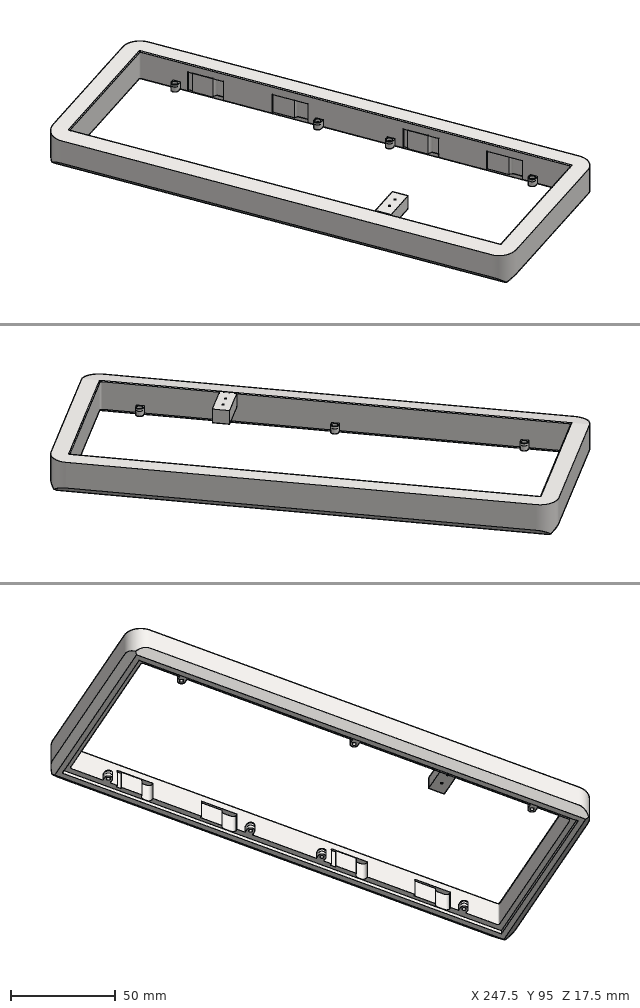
import cadquery as cq

length = 247.5
depth = 95.0
height = 17.5
corner_radius = 9.2
bottom_chamfer = 3.7

rail_width = 9.2
window_top_chamfer = 0.5
window_length = length - 2 * rail_width
window_depth = depth - 2 * rail_width
window_corner_radius = 1.0
rebate_height = 2.2
rebate_width = 2.7

front_drop = 1.11

boss_diameter = 4.0
boss_hole_diameter = 1.8
boss_counterbore_diameter = 3.0
boss_counterbore_depth = 1.5
boss_height = 4.0
boss_reach = 2.0
back_boss_xs = (-95.0, -19.0, 19.0, 95.0)
front_boss_xs = (-92.4, 0.0, 95.0)

recess_length = 19.0
recess_top = 12.9
pocket_depth = 2.5
pocket_corner_radius = 2.0
deep_recess_depth = 1.0
deep_recess_pocket_length = 7.7
deep_recess_xs = (-44.3, 69.8)
faint_recess_depth = 0.2
faint_recess_pocket_length = 5.7
faint_recess_xs = (-89.5, 25.3)
groove_width = 2.5

bracket_center_x = 52.2
bracket_width = 8.5
bracket_reach = 18.5
bracket_bottom = 10.2
bracket_hole_diameter = 1.0
bracket_hole_ys = (-31.7, -25.5)

wall_y = window_depth / 2


def block(x_min, x_max, y_min, y_max, z_min, z_max):
    """Box between the given limits."""
    size = (x_max - x_min, y_max - y_min, z_max - z_min)
    return cq.Workplane("XY").box(*size, centered=False).translate((x_min, y_min, z_min))


def make_window_chamfer():
    """Flared top of the window that bevels its upper edge."""
    return (
        cq.Workplane("XY")
        .workplane(offset=height - window_top_chamfer)
        .rect(window_length, window_depth)
        .workplane(offset=window_top_chamfer)
        .rect(window_length + 2 * window_top_chamfer, window_depth + 2 * window_top_chamfer)
        .loft(combine=True)
    )


def make_frame():
    """Rounded rectangular frame with a chamfered foot and a sloping front rail."""
    frame = (
        cq.Workplane("XY")
        .box(length, depth, height, centered=(True, True, False))
        .faces("<Z")
        .chamfer(bottom_chamfer)
    )
    rounded_prism = (
        cq.Workplane("XY").rect(length, depth).extrude(height).edges("|Z").fillet(corner_radius)
    )
    window = (
        cq.Workplane("XY")
        .rect(window_length, window_depth)
        .extrude(height)
        .edges("|Z")
        .fillet(window_corner_radius)
    )
    window = window.union(make_window_chamfer())
    rebate = (
        cq.Workplane("XY")
        .rect(window_length + 2 * rebate_width, window_depth + 2 * rebate_width)
        .extrude(rebate_height)
    )
    slope = (
        cq.Workplane("YZ")
        .polyline([(-wall_y, height), (-depth / 2, height), (-depth / 2, height - front_drop)])
        .close()
        .extrude(length / 2, both=True)
    )
    return frame.intersect(rounded_prism).cut(window).cut(rebate).cut(slope)


def make_boss(x, side):
    """Boss with a round nose on the back (side = 1) or front (side = -1) wall."""
    radius = boss_diameter / 2
    center_y = side * (wall_y - boss_reach)
    nose = cq.Workplane("XY").circle(radius).extrude(boss_height)
    web = cq.Workplane("XY").rect(boss_diameter, boss_reach).extrude(boss_height)
    web = web.translate((0, side * boss_reach / 2, 0))
    hole = cq.Workplane("XY").circle(boss_hole_diameter / 2).extrude(boss_height)
    counterbore = (
        cq.Workplane("XY")
        .workplane(offset=boss_height - boss_counterbore_depth)
        .circle(boss_counterbore_diameter / 2)
        .extrude(boss_counterbore_depth)
    )
    return nose.union(web).cut(hole).cut(counterbore).translate((x, center_y, rebate_height))


def make_wall_cut(x_min, x_max, cut_depth):
    """Cut into the back wall, from the underside up to the top of the recesses."""
    return block(x_min, x_max, wall_y, wall_y + cut_depth, 0, recess_top)


def make_recess(x, recess_depth, pocket_length):
    """Recess starting at x, with a round-cornered pocket at its right end."""
    x_end = x + recess_length
    pocket = make_wall_cut(x_end - pocket_length, x_end, pocket_depth)
    pocket = pocket.edges("|Z and >Y").fillet(pocket_corner_radius)
    return make_wall_cut(x, x_end, recess_depth).union(pocket)


def make_bracket():
    """Block standing out of the front wall with two small vertical holes."""
    bracket = block(
        bracket_center_x - bracket_width / 2,
        bracket_center_x + bracket_width / 2,
        -wall_y,
        -wall_y + bracket_reach,
        bracket_bottom,
        height,
    )
    holes = (
        cq.Workplane("XY")
        .pushPoints([(bracket_center_x, y) for y in bracket_hole_ys])
        .circle(bracket_hole_diameter / 2)
        .extrude(height)
    )
    return bracket.cut(holes)


result = make_frame()
for x in back_boss_xs:
    result = result.union(make_boss(x, 1))
for x in front_boss_xs:
    result = result.union(make_boss(x, -1))
for x in deep_recess_xs:
    result = result.cut(make_recess(x, deep_recess_depth, deep_recess_pocket_length))
for x in faint_recess_xs:
    result = result.cut(make_recess(x, faint_recess_depth, faint_recess_pocket_length))
    result = result.cut(make_wall_cut(x, x + groove_width, deep_recess_depth))
result = result.union(make_bracket())